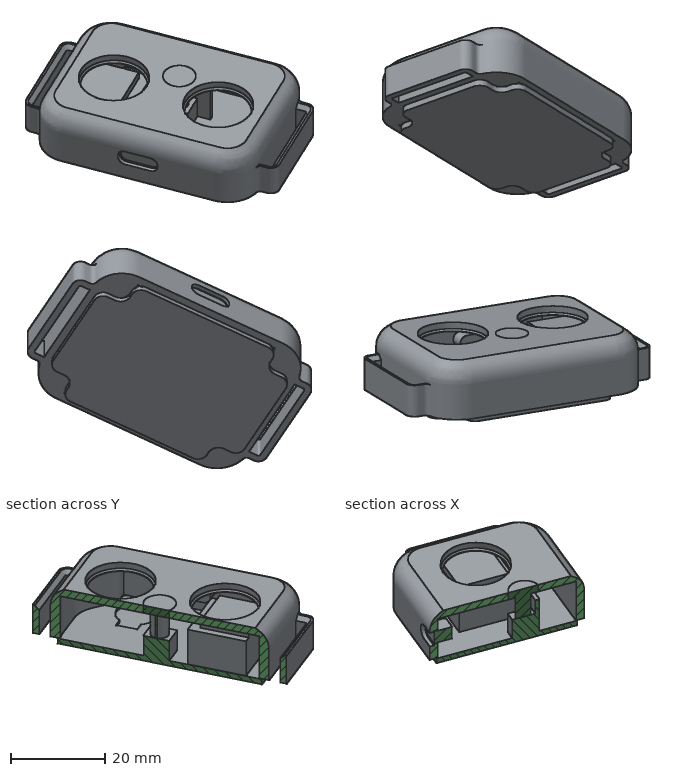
import cadquery as cq
import math

CHAMFER_ANGLE = 45.0
SELECTION_MARGIN = 0.05

HOUSING_LENGTH = 50.0
HOUSING_WIDTH = 36.0
CORNER_RADIUS = 7.5
TOTAL_HEIGHT = 13.8
PLATE_THICKNESS = 1.4
WALL = 2.0
SHOULDER_INSET = 3.15
SHOULDER_DROP = 2.15
SHOULDER_RADIUS = 4.5
CEILING = TOTAL_HEIGHT - WALL
CAVITY_HALF_X = HOUSING_LENGTH / 2 - WALL
CAVITY_HALF_Y = HOUSING_WIDTH / 2 - WALL

BOSS_SIDE_X = 16.7
BOSS_DIAGONAL_SUM = 29.45
BOSS_NOSE_RADIUS = 3.6
BOSS_BLEND_RADIUS = 7.4

WINDOW_X = 11.95
WINDOW_Y = -2.0
WINDOW_OUTER_DIAMETER = 15.0
WINDOW_INNER_DIAMETER = 14.2
WINDOW_STRAIGHT_DEPTH = 1.45

LOOP_SPAN_X = 58.0
LOOP_SPAN_Y = 22.9
LOOP_HEIGHT = 7.0
LOOP_CORNER_RADIUS = 2.0
LOOP_ROOT_RADIUS = 1.1
LOOP_WALL = 1.5
LOOP_CHAMFER = 1.0

PORT_X = -0.05
PORT_Z = 6.85
PORT_LENGTH = 9.15
PORT_HEIGHT = 3.55
PORT_DEPTH = 1.0
CONNECTOR_X = 0.1
CONNECTOR_LENGTH = 8.95
CONNECTOR_HEIGHT = 3.25
CONNECTOR_DEPTH = 4.25
CONNECTOR_Z = 7.15

PLATE_LONG_X = 46.7
PLATE_LONG_Y = 32.75
PLATE_ARM_X = 34.2
PLATE_ARM_Y = 22.15
PLATE_OUTER_RADIUS = 2.15
PLATE_INNER_RADIUS = 2.4

KEYHOLE_X = 11.25
KEYHOLE_ROUND_Y = -9.85
KEYHOLE_RADIUS = 4.65
KEYHOLE_TAB_WIDTH = 4.9
KEYHOLE_TAB_END_Y = -3.75
KEYHOLE_DEPTH = 0.5

BUTTON_X = 0.75
BUTTON_Y = 3.75
BUTTON_DIAMETER = 7.0
STEM_DIAMETER = 4.0
PEDESTAL_TOP = 6.3
PEDESTAL_LENGTH = 6.0
PEDESTAL_FRONT_Y = 1.15
PEDESTAL_BACK_Y = 6.55
UPRIGHT_LENGTH = 11.95
UPRIGHT_THICKNESS = 1.0
UPRIGHT_TOP = 9.85

MODULE_LEFT_X = -19.7
MODULE_RIGHT_X = -6.4
MODULE_FRONT_Y = -8.3
MODULE_BACK_Y = 5.75
MODULE_STEP_Z = 10.0
MODULE_TOP = 11.65
MODULE_TOP_RIGHT_X = -8.65
MODULE_TOP_FRONT_Y = -7.25
MODULE_TOP_BACK_Y = 4.1


def block(x_range, y_range, z_range):
    """Axis-aligned box between the given limits."""
    size = [high - low for low, high in (x_range, y_range, z_range)]
    return cq.Workplane("XY").box(*size, centered=False).translate((x_range[0], y_range[0], z_range[0]))


def rounded_prism(length, width, radius, bottom, height):
    """Centred upright prism with rounded vertical edges."""
    prism = cq.Workplane("XY").workplane(offset=bottom).rect(length, width).extrude(height)
    return prism.edges("|Z").fillet(radius)


def cylinder(x, y, diameter, bottom, top):
    """Upright cylinder between two heights."""
    return cq.Workplane("XY", origin=(x, y, bottom)).circle(diameter / 2).extrude(top - bottom)


def front_slot(length, height, x, z, front_y, depth):
    """Round-ended bar that starts at front_y and runs towards +Y."""
    face = cq.Workplane("XZ", origin=(x, front_y, z))
    return face.slot2D(length, height).extrude(-depth)


def shell_body():
    """Solid outer form of the housing without the loops."""
    shoulder_z = TOTAL_HEIGHT - SHOULDER_DROP
    body = rounded_prism(
        HOUSING_LENGTH, HOUSING_WIDTH, CORNER_RADIUS, PLATE_THICKNESS, shoulder_z - PLATE_THICKNESS
    )
    slope = math.degrees(math.atan(SHOULDER_INSET / SHOULDER_DROP))
    body = body.faces(">Z").wires().toPending().workplane().extrude(SHOULDER_DROP, taper=slope)
    shoulder = cq.selectors.BoxSelector(
        (-HOUSING_LENGTH, -HOUSING_WIDTH, shoulder_z - SELECTION_MARGIN),
        (HOUSING_LENGTH, HOUSING_WIDTH, shoulder_z + SELECTION_MARGIN),
    )
    return body.edges(shoulder).fillet(SHOULDER_RADIUS)


def loop_collar():
    """Both strap loops with the slice of the housing between them."""
    footprint = rounded_prism(
        HOUSING_LENGTH, HOUSING_WIDTH, CORNER_RADIUS, PLATE_THICKNESS, LOOP_HEIGHT
    )
    band = rounded_prism(LOOP_SPAN_X, LOOP_SPAN_Y, LOOP_CORNER_RADIUS, PLATE_THICKNESS, LOOP_HEIGHT)
    collar = footprint.union(band)
    for side in (-1, 1):
        for end in (-1, 1):
            root = cq.selectors.NearestToPointSelector(
                (side * HOUSING_LENGTH / 2, end * LOOP_SPAN_Y / 2, PLATE_THICKNESS + LOOP_HEIGHT / 2)
            )
            collar = collar.edges("|Z").edges(root).fillet(LOOP_ROOT_RADIUS)
    opening_x = LOOP_SPAN_X - 2 * LOOP_WALL
    opening_y = LOOP_SPAN_Y - 2 * LOOP_WALL
    opening_radius = LOOP_CORNER_RADIUS - LOOP_WALL
    opening = rounded_prism(opening_x, opening_y, opening_radius, PLATE_THICKNESS, LOOP_HEIGHT)
    opening_outline = cq.Sketch().rect(opening_x, opening_y).vertices().fillet(opening_radius)
    flare = (
        cq.Workplane("XY")
        .workplane(offset=PLATE_THICKNESS + LOOP_HEIGHT - LOOP_CHAMFER)
        .placeSketch(opening_outline)
        .extrude(LOOP_CHAMFER, taper=-CHAMFER_ANGLE)
    )
    return collar.cut(opening.union(flare).cut(footprint))


def corner_boss():
    """Filler for the +X +Y corner of the cavity, blended into the side wall."""
    diagonal_end_y = BOSS_DIAGONAL_SUM - CAVITY_HALF_X
    outline = [
        (BOSS_SIDE_X, HOUSING_WIDTH / 2),
        (BOSS_SIDE_X, BOSS_DIAGONAL_SUM - BOSS_SIDE_X),
        (CAVITY_HALF_X, diagonal_end_y),
        (CAVITY_HALF_X, 0),
        (HOUSING_LENGTH / 2, 0),
        (HOUSING_LENGTH / 2, HOUSING_WIDTH / 2),
    ]
    boss = cq.Workplane("XY").workplane(offset=PLATE_THICKNESS).polyline(outline).close()
    boss = boss.extrude(CEILING - PLATE_THICKNESS)
    for corner, radius in ((outline[1], BOSS_NOSE_RADIUS), (outline[2], BOSS_BLEND_RADIUS)):
        edge = cq.selectors.NearestToPointSelector((*corner, (PLATE_THICKNESS + CEILING) / 2))
        boss = boss.edges("|Z").edges(edge).fillet(radius)
    return boss


def cavity():
    """Space inside the housing, open at the bottom."""
    space = block(
        (-CAVITY_HALF_X, CAVITY_HALF_X), (-CAVITY_HALF_Y, CAVITY_HALF_Y), (PLATE_THICKNESS, CEILING)
    )
    boss = corner_boss()
    for turned in (boss, boss.mirror("YZ"), boss.mirror("XZ"), boss.mirror("YZ").mirror("XZ")):
        space = space.cut(turned)
    return space


def window(x):
    """Window cutter: wide bore, 45 degree cone, then the narrow bore."""
    cone_height = (WINDOW_OUTER_DIAMETER - WINDOW_INNER_DIAMETER) / 2
    cone_top = TOTAL_HEIGHT - WINDOW_STRAIGHT_DEPTH
    wide = cylinder(x, WINDOW_Y, WINDOW_OUTER_DIAMETER, cone_top - cone_height, TOTAL_HEIGHT)
    wide = wide.faces("<Z").chamfer(cone_height)
    return wide.union(cylinder(x, WINDOW_Y, WINDOW_INNER_DIAMETER, CEILING, TOTAL_HEIGHT))


def make_connector():
    return front_slot(
        CONNECTOR_LENGTH,
        CONNECTOR_HEIGHT,
        CONNECTOR_X,
        CONNECTOR_Z,
        PORT_DEPTH - HOUSING_WIDTH / 2,
        CONNECTOR_DEPTH,
    )


def make_housing():
    housing = shell_body().union(loop_collar()).cut(cavity())
    for x in (-WINDOW_X, WINDOW_X):
        housing = housing.cut(window(x))
    housing = housing.cut(cylinder(BUTTON_X, BUTTON_Y, BUTTON_DIAMETER, CEILING, TOTAL_HEIGHT))
    port = front_slot(PORT_LENGTH, PORT_HEIGHT, PORT_X, PORT_Z, -HOUSING_WIDTH / 2, PORT_DEPTH)
    return housing.cut(port).cut(make_connector())


def plus_plate():
    """Plus-shaped plate with rounded outer and inner corners."""
    side_arms = cq.Workplane("XY").rect(PLATE_LONG_X, PLATE_ARM_Y).extrude(PLATE_THICKNESS)
    end_arms = cq.Workplane("XY").rect(PLATE_ARM_X, PLATE_LONG_Y).extrude(PLATE_THICKNESS)
    inner_corners = cq.selectors.BoxSelector(
        (-PLATE_ARM_X / 2 - SELECTION_MARGIN, -PLATE_ARM_Y / 2 - SELECTION_MARGIN, 0),
        (PLATE_ARM_X / 2 + SELECTION_MARGIN, PLATE_ARM_Y / 2 + SELECTION_MARGIN, PLATE_THICKNESS),
    )
    plate = side_arms.union(end_arms)
    plate = plate.edges("|Z").edges(inner_corners).fillet(PLATE_INNER_RADIUS)
    return plate.faces("<X or >X or <Y or >Y").edges("|Z").fillet(PLATE_OUTER_RADIUS)


def keyhole():
    """Cutter for the round recess with a square tab."""
    floor = PLATE_THICKNESS - KEYHOLE_DEPTH
    round_part = cylinder(KEYHOLE_X, KEYHOLE_ROUND_Y, 2 * KEYHOLE_RADIUS, floor, PLATE_THICKNESS)
    tab = block(
        (KEYHOLE_X - KEYHOLE_TAB_WIDTH / 2, KEYHOLE_X + KEYHOLE_TAB_WIDTH / 2),
        (KEYHOLE_ROUND_Y, KEYHOLE_TAB_END_Y),
        (floor, PLATE_THICKNESS),
    )
    return round_part.union(tab)


def button_bracket():
    """Pedestal that carries the button stem, with an upright behind it."""
    pedestal = block(
        (BUTTON_X - PEDESTAL_LENGTH / 2, BUTTON_X + PEDESTAL_LENGTH / 2),
        (PEDESTAL_FRONT_Y, PEDESTAL_BACK_Y),
        (PLATE_THICKNESS, PEDESTAL_TOP),
    )
    upright = block(
        (BUTTON_X - UPRIGHT_LENGTH / 2, BUTTON_X + UPRIGHT_LENGTH / 2),
        (PEDESTAL_BACK_Y, PEDESTAL_BACK_Y + UPRIGHT_THICKNESS),
        (PLATE_THICKNESS, UPRIGHT_TOP),
    )
    return pedestal.union(upright)


def make_base():
    return plus_plate().cut(keyhole()).union(button_bracket())


def make_button():
    cap = cylinder(BUTTON_X, BUTTON_Y, BUTTON_DIAMETER, CEILING, TOTAL_HEIGHT)
    stem = cylinder(BUTTON_X, BUTTON_Y, STEM_DIAMETER, PEDESTAL_TOP, CEILING)
    return cap.union(stem)


def make_module():
    lower = block(
        (MODULE_LEFT_X, MODULE_RIGHT_X), (MODULE_FRONT_Y, MODULE_BACK_Y), (PLATE_THICKNESS, MODULE_STEP_Z)
    )
    upper = block(
        (MODULE_LEFT_X, MODULE_TOP_RIGHT_X),
        (MODULE_TOP_FRONT_Y, MODULE_TOP_BACK_Y),
        (MODULE_STEP_Z, MODULE_TOP),
    )
    return lower.union(upper)


housing = make_housing().solids()
base = make_base().solids()
button = make_button().solids()
module = make_module().solids()
connector = make_connector().solids()

result = cq.Compound.makeCompound(
    [housing.val(), base.val(), button.val(), module.val(), connector.val()]
)